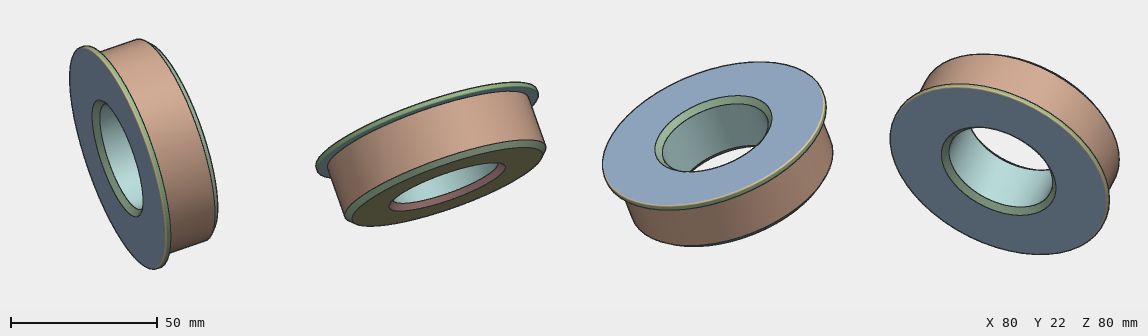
import cadquery as cq

flange_diameter = 80.0
flange_thickness = 2.0
flange_edge_round = 0.5
total_depth = 22.0
body_diameter = 72.7
body_chamfer = 2.0
bore_diameter = 38.0
bore_chamfer = 2.0


def disc(diameter, depth):
    """Solid disc from the flange face toward +Y."""
    return cq.Workplane("XZ").circle(diameter / 2).extrude(-depth)


flange = disc(flange_diameter, flange_thickness).edges().fillet(flange_edge_round)

body = disc(body_diameter, total_depth).faces(">Y").edges().chamfer(body_chamfer)

bore = disc(bore_diameter, total_depth)
solid_ring = flange.union(body).cut(bore)
bore_edges = cq.selectors.RadiusNthSelector(0)
result = solid_ring.faces("<Y or >Y").edges(bore_edges).chamfer(bore_chamfer)